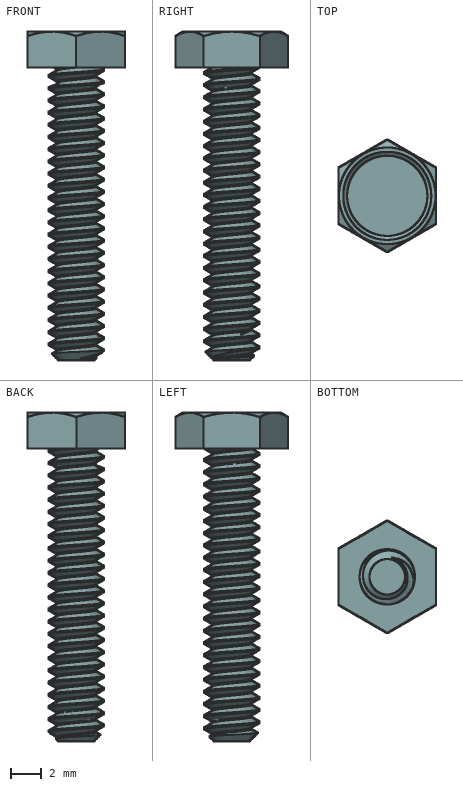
import cadquery as cq
import math

total_length = 21.4
head_height = 2.35
shank_length = total_length - head_height

across_flats = 6.35
across_corners = across_flats / math.cos(math.radians(30))
head_flat_radius = 3.15
corner_chamfer_angle = 30.0
trim_margin = 0.21
dish_rim_radius = 2.87
dish_floor_radius = 2.61
dish_depth = 0.21

major_radius = 1.8
thread_turns = 24
pitch = shank_length / thread_turns
flank_angle = 30.0
flank_slope = math.tan(math.radians(flank_angle))
flat_width = pitch / 8
thread_depth = (pitch / 2 - flat_width) / flank_slope
root_radius = major_radius - thread_depth
first_crest_height = 0.65
cutter_overrun = 0.05
rod_overrun = 4.28

tip_radius = 1.15
tip_chamfer = major_radius - tip_radius
blank_seam_angle = 77.0


def make_head():
    """Hexagonal prism with chamfered corners and a shallow conical dish on top."""
    hexagon = (
        cq.Workplane("XY", origin=(0, 0, shank_length))
        .polygon(6, across_corners)
        .extrude(head_height)
        .rotate((0, 0, 0), (0, 0, 1), 30)
    )
    blank_radius = across_corners / 2 + trim_margin
    chamfer_drop = (blank_radius - head_flat_radius) * math.tan(math.radians(corner_chamfer_angle))
    turned_blank = (
        cq.Workplane("XZ")
        .moveTo(0, shank_length)
        .lineTo(blank_radius, shank_length)
        .lineTo(blank_radius, total_length - chamfer_drop)
        .lineTo(head_flat_radius, total_length)
        .lineTo(dish_rim_radius, total_length)
        .lineTo(dish_floor_radius, total_length - dish_depth)
        .lineTo(0, total_length - dish_depth)
        .close()
        .revolve(360, (0, 0, 0), (0, 1, 0))
    )
    return hexagon.intersect(turned_blank)


def make_thread_groove():
    """Helical V groove that runs out past both ends of the shank."""
    start_height = first_crest_height - 2.5 * pitch
    turns = math.ceil((shank_length - start_height) / pitch) + 1
    path = cq.Wire.makeHelix(pitch, turns * pitch, root_radius).translate(cq.Vector(0, 0, start_height))
    outer_radius = major_radius + cutter_overrun
    root_half_width = flat_width / 2
    outer_half_width = root_half_width + (outer_radius - root_radius) * flank_slope
    return (
        cq.Workplane("XZ")
        .moveTo(root_radius, start_height + root_half_width)
        .lineTo(outer_radius, start_height + outer_half_width)
        .lineTo(outer_radius, start_height - outer_half_width)
        .lineTo(root_radius, start_height - root_half_width)
        .close()
        .sweep(cq.Workplane(path), isFrenet=True)
    )


def make_shank():
    """Round shank with a chamfered tip, threaded up to the underside of the head."""
    blank = (
        cq.Workplane("XY")
        .circle(major_radius)
        .extrude(shank_length)
        .faces("<Z")
        .chamfer(tip_chamfer)
        .rotate((0, 0, 0), (0, 0, 1), blank_seam_angle)
    )
    rod = (
        cq.Workplane("XY", origin=(0, 0, -rod_overrun))
        .circle(major_radius)
        .extrude(shank_length + 2 * rod_overrun)
        .cut(make_thread_groove())
    )
    return blank.intersect(rod)


head = make_head()
shank = make_shank()
result = cq.Compound.makeCompound([head.val(), *shank.vals()])